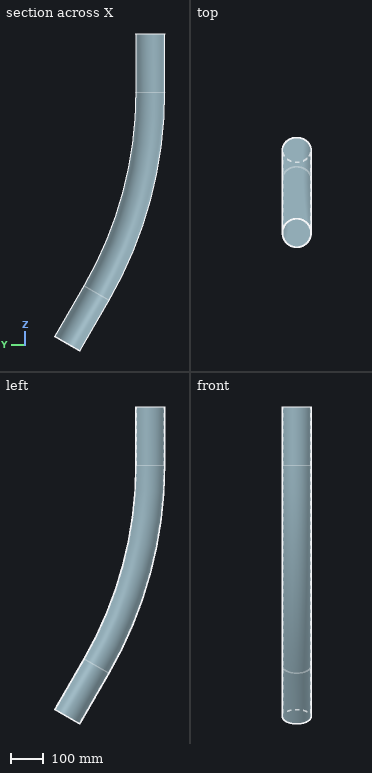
import cadquery as cq
import math

outer_diameter = 88.9
inner_diameter = 84.68
bend_angle = 30.0
bend_radius = 1219.2
leg_length = 177.8


def bend_point(angle_degrees):
    """Centreline point (Y, Z) after turning by the given angle from the upper leg."""
    angle = math.radians(angle_degrees)
    return (
        bend_radius * (1 - math.cos(angle)),
        -leg_length - bend_radius * math.sin(angle),
    )


def pipe_centreline():
    """Path in the YZ plane, running down from the centre of the upper end."""
    end_angle = math.radians(bend_angle)
    bend_end_y, bend_end_z = bend_point(bend_angle)
    lower_end = (
        bend_end_y + leg_length * math.sin(end_angle),
        bend_end_z - leg_length * math.cos(end_angle),
    )
    return (
        cq.Workplane("YZ")
        .moveTo(0, 0)
        .lineTo(0, -leg_length)
        .threePointArc(bend_point(bend_angle / 2), (bend_end_y, bend_end_z))
        .lineTo(*lower_end)
    )


def make_pipe():
    """Sweep the ring-shaped wall section along the centreline."""
    wall_section = cq.Workplane("XY").circle(outer_diameter / 2).circle(inner_diameter / 2)
    return wall_section.sweep(pipe_centreline())


result = make_pipe()